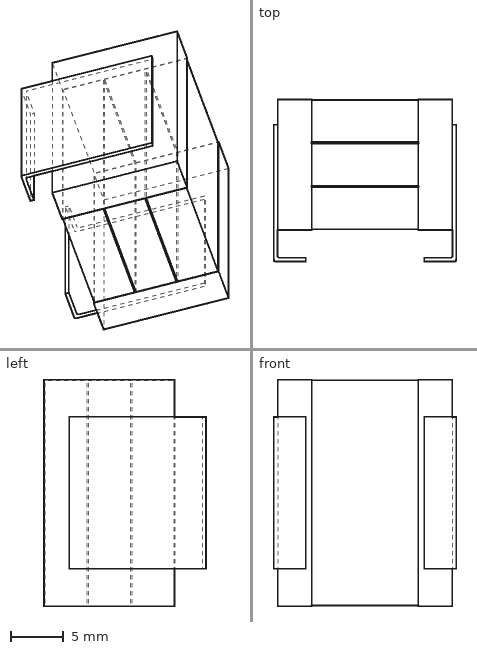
import cadquery as cq

STACK_HEIGHT = 21.5
STACK_DEPTH = 12.4
LEAD_SPAN = 17.3
OVERALL_DEPTH = 15.4

LAYER_COUNT = 3
CAP_LENGTH = 3.22
CAP_STEP = 0.06

LEAD_THICKNESS = 0.37
LEAD_HEIGHT = 14.4
LEAD_DEPTH = 12.99
FOOT_LENGTH = 3.05
BEND_RADIUS = 0.2

STACK_LENGTH = LEAD_SPAN - 2 * LEAD_THICKNESS
STACK_FRONT = OVERALL_DEPTH - STACK_DEPTH
LAYER_LENGTH = STACK_LENGTH - 2 * CAP_LENGTH
LAYER_HEIGHT = STACK_HEIGHT - 2 * CAP_STEP
LAYER_PITCH = STACK_DEPTH / LAYER_COUNT
LAYER_DEPTH = LAYER_PITCH - 2 * CAP_STEP


def make_stack():
    """Parallel layers with open gaps between them, joined by a full-depth cap at each end."""
    stack_middle = STACK_FRONT + STACK_DEPTH / 2
    cap_offset = (STACK_LENGTH - CAP_LENGTH) / 2
    stack = (
        cq.Workplane("XY")
        .pushPoints([(-cap_offset, stack_middle), (cap_offset, stack_middle)])
        .box(CAP_LENGTH, STACK_DEPTH, STACK_HEIGHT)
    )
    for index in range(LAYER_COUNT):
        layer_middle = STACK_FRONT + (index + 0.5) * LAYER_PITCH
        layer = cq.Workplane("XY").box(LAYER_LENGTH, LAYER_DEPTH, LAYER_HEIGHT)
        stack = stack.union(layer.translate((0, layer_middle, 0)))
    return stack


def make_lead(side):
    """L-shaped strip on one end of the stack; side is -1 for the -X end and 1 for the +X end."""
    outer = side * LEAD_SPAN / 2
    inner = side * STACK_LENGTH / 2
    foot_tip = side * (LEAD_SPAN / 2 - FOOT_LENGTH)
    outline = [
        (outer, 0),
        (outer, LEAD_DEPTH),
        (inner, LEAD_DEPTH),
        (inner, LEAD_THICKNESS),
        (foot_tip, LEAD_THICKNESS),
        (foot_tip, 0),
    ]
    lead = cq.Workplane("XY").polyline(outline).close().extrude(LEAD_HEIGHT / 2, both=True)
    outer_corner = cq.NearestToPointSelector((outer, 0, 0))
    inner_corner = cq.NearestToPointSelector((inner, LEAD_THICKNESS, 0))
    lead = lead.edges(outer_corner).fillet(BEND_RADIUS)
    return lead.edges(inner_corner).fillet(BEND_RADIUS)


stack = make_stack()
leads = [make_lead(side) for side in (-1, 1)]

result = cq.Compound.makeCompound([stack.solids().val(), *[lead.solids().val() for lead in leads]])